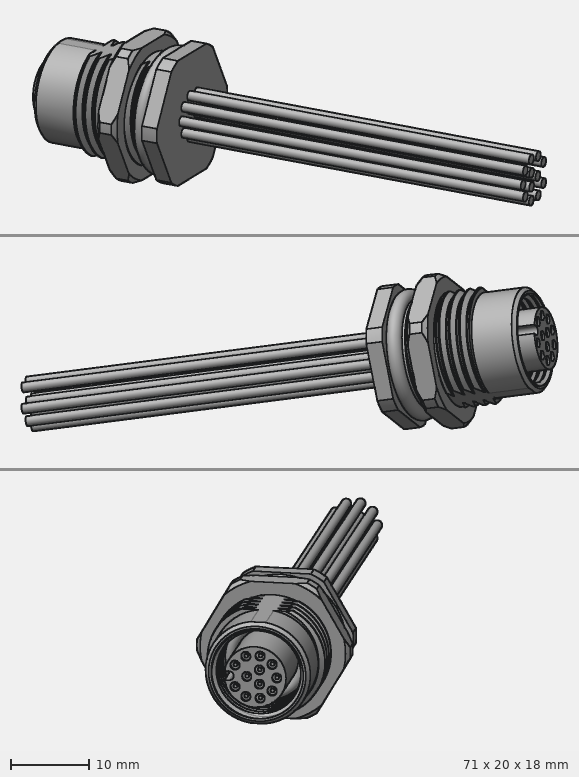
import cadquery as cq
import math


insert_radius = 4.03
key_radius = 0.6
key_offset = 3.38
key_depth = 6.0
contact_circle_radius = 2.9
contact_circle_offset = 0.1
contact_step_angle = 37.6
outer_steps_each_side = 4
inner_circle_radius = 1.1
inner_contact_count = 3
contact_mouth_radius = 0.6
contact_bore_radius = 0.25
contact_mouth_depth = 0.3
contact_depth = 5.0

shell_front_x = 1.5
shell_radius = 6.82
shell_chamfer = 0.5
across_shell_flats = 13.5
bore_radius = 5.45
bore_depth = 8.0
bore_mouth_radius = 6.0
seal_squeeze = 0.03
seal_tube_radius = (bore_radius - insert_radius) / 2 + seal_squeeze

coupling_pitch = 1.0
coupling_major_radius = 6.0
coupling_flank_angle = 30
coupling_length = 6.0

thread_start_x = 7.5
thread_pitch = 1.411
thread_major_radius = 7.6
thread_root_radius = 6.9
thread_flank_angle = 38
thread_crest_x = 8.87
root_overlap = 0.05

nut_front_x = 12.52
nut_thickness = 2.8
nut_across_flats = 18.0
nut_outer_radius = 10.0
nut_chamfer = 0.55
nut_bore_radius = 7.37

flange_front_x = 18.85
flange_thickness = 2.2
flange_across_flats = 17.0
flange_outer_radius = 9.3
ring_outer_radius = 8.5
ring_tube_radius = 1.0
ring_squeeze = 0.05
collar_radius = 7.1
collar_front_x = 16.6

wire_radius = 0.65
overall_length = 71.0

flange_rear_x = flange_front_x + flange_thickness


def cylinder(x_start, x_end, radius, y=0, z=0):
    return cq.Workplane("YZ", origin=(x_start, y, z)).circle(radius).extrude(x_end - x_start)


def torus(x_center, center_radius, tube_radius):
    profile = cq.Workplane("XY").center(x_center, center_radius).circle(tube_radius)
    return profile.revolve(360, (-1, -center_radius), (0, -center_radius))


def hexagon(x_start, thickness, across_flats, outer_radius, chamfer=0):
    """Hexagonal plate with flats at +Z and -Z and its corners turned to a cylinder."""
    corner_diameter = across_flats / math.cos(math.pi / 6)
    plate = cq.Workplane("YZ", origin=(x_start, 0, 0)).polygon(6, corner_diameter).extrude(thickness)
    envelope = cylinder(x_start, x_start + thickness, outer_radius)
    if chamfer:
        envelope = envelope.edges().chamfer(chamfer)
    return plate.intersect(envelope)


def helical_ridge(start_x, length, pitch, base_radius, tip_radius, base_width, flank_angle):
    """Right-handed trapezoidal ridge around X whose first section lies at -Z."""
    tip_width = base_width - 2 * abs(tip_radius - base_radius) * math.tan(math.radians(flank_angle))
    helix = cq.Wire.makeHelix(pitch, length, base_radius)
    profile = cq.Workplane("XZ").polyline([
        (base_radius, -base_width / 2),
        (tip_radius, -tip_width / 2),
        (tip_radius, tip_width / 2),
        (base_radius, base_width / 2),
    ]).close()
    ridge = profile.sweep(cq.Workplane(helix), isFrenet=True)
    return ridge.rotate((0, 0, 0), (0, 1, 0), 90).translate((start_x, 0, 0))


def polar(radius, degrees, offset=0):
    """Y, Z of a point at an angle from -Y toward +Z, on a circle shifted along +Y."""
    angle = math.radians(degrees)
    return (offset - radius * math.cos(angle), radius * math.sin(angle))


def contact_positions():
    steps = range(-outer_steps_each_side, outer_steps_each_side + 1)
    outer = [
        polar(contact_circle_radius, contact_step_angle * step, contact_circle_offset) for step in steps
    ]
    inner_step = 360 / inner_contact_count
    inner = [polar(inner_circle_radius, 180 + inner_step * i) for i in range(inner_contact_count)]
    return outer + inner


def between_flats(x_start, x_end):
    """Block spanning the two flats milled along the shell at +Z and -Z."""
    block = cq.Workplane("XY").box(x_end - x_start, 4 * shell_radius, across_shell_flats)
    return block.translate(((x_start + x_end) / 2, 0, 0))


def mounting_thread():
    """Threaded barrel; the flats split the helix into half turns on alternating sides."""
    envelope = between_flats(thread_start_x, collar_front_x)
    barrel = cylinder(thread_start_x, collar_front_x, thread_root_radius).intersect(envelope)
    half_pitch = thread_pitch / 2
    half_turn = helical_ridge(
        0, half_pitch, thread_pitch, thread_root_radius - root_overlap,
        thread_major_radius, thread_pitch - root_overlap, thread_flank_angle,
    )
    turns_before_crest = math.ceil((thread_crest_x - thread_start_x) / thread_pitch)
    first_x = thread_crest_x - (turns_before_crest + 0.25) * thread_pitch
    half_turn_count = math.ceil((collar_front_x - first_x) / half_pitch)
    half_turns = cq.Workplane("YZ")
    for i in range(half_turn_count):
        piece = half_turn.rotate((0, 0, 0), (1, 0, 0), 180 * i).translate((first_x + i * half_pitch, 0, 0))
        half_turns = half_turns.add(piece.intersect(envelope))
    return barrel.union(half_turns)


def shell():
    """Sleeve and threaded barrel, bored from the front with a conical lead-in."""
    sleeve = cylinder(shell_front_x, thread_start_x, shell_radius).faces("<X").chamfer(shell_chamfer)
    sleeve = sleeve.intersect(between_flats(shell_front_x, thread_start_x))
    bore = cylinder(shell_front_x, shell_front_x + bore_depth, bore_radius)
    lead_in = cq.Workplane(cq.Solid.makeCone(
        bore_mouth_radius, bore_radius, bore_mouth_radius - bore_radius,
        cq.Vector(shell_front_x, 0, 0), cq.Vector(1, 0, 0),
    ))
    return sleeve.union(mounting_thread()).cut(bore).cut(coupling_groove()).cut(lead_in)


def coupling_groove():
    """Helical groove of the thread inside the shell mouth."""
    start_x = shell_front_x - coupling_pitch
    base_radius = bore_radius - root_overlap
    return helical_ridge(
        start_x, coupling_length + coupling_pitch, coupling_pitch,
        base_radius, coupling_major_radius, coupling_pitch - root_overlap, coupling_flank_angle,
    )


def insert():
    """Contact carrier with a coding keyway at +Y and stepped contact holes."""
    body = cylinder(0, shell_front_x + bore_depth, insert_radius)
    body = body.cut(cylinder(0, key_depth, key_radius, key_offset))
    slot_length = insert_radius - key_offset
    slot = cq.Workplane("XY").box(key_depth, slot_length, 2 * key_radius, centered=(False, False, True))
    body = body.cut(slot.translate((0, key_offset, 0)))
    for y, z in contact_positions():
        mouth = cylinder(0, contact_mouth_depth, contact_mouth_radius, y, z)
        body = body.cut(mouth).cut(cylinder(0, contact_depth, contact_bore_radius, y, z))
    return body


def nut():
    body = hexagon(nut_front_x, nut_thickness, nut_across_flats, nut_outer_radius, nut_chamfer)
    return body.cut(cylinder(nut_front_x, nut_front_x + nut_thickness, nut_bore_radius))


def flange():
    """Rear hexagon with the collar and sealing ring in front of it."""
    plate = hexagon(flange_front_x, flange_thickness, flange_across_flats, flange_outer_radius)
    collar = cylinder(collar_front_x, flange_front_x, collar_radius)
    ring_x = flange_front_x - ring_tube_radius + ring_squeeze
    ring = torus(ring_x, ring_outer_radius - ring_tube_radius, ring_tube_radius)
    return plate.union(collar).union(ring)


def wires():
    """One wire leaving the rear of the flange behind each contact."""
    bundle = cq.Workplane("YZ")
    for y, z in contact_positions():
        bundle = bundle.add(cylinder(flange_rear_x, overall_length, wire_radius, y, z))
    return bundle


def seal():
    """Sealing ring at the bottom of the annular gap around the insert."""
    center_x = shell_front_x + bore_depth - seal_tube_radius + seal_squeeze
    return torus(center_x, (insert_radius + bore_radius) / 2, seal_tube_radius)


rear_end = flange().union(wires())
result = shell().union(insert()).union(seal()).union(nut()).union(rear_end)